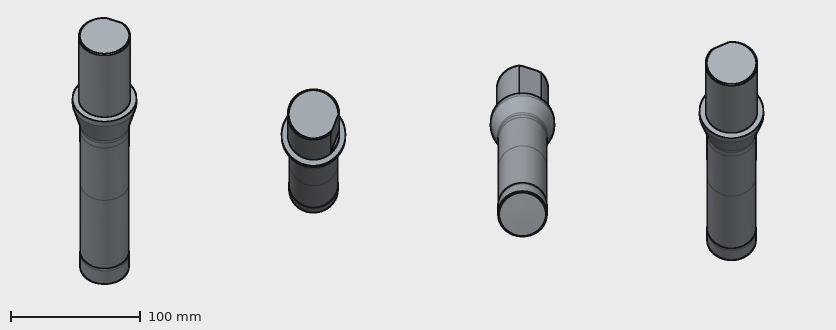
import cadquery as cq
import math

shank_diameter = 40.0
flange_diameter = 49.5
collar_diameter = 38.0
bar_diameter = 37.7
head_diameter = 38.0

total_height = 260.0
flange_top = 189.8
flange_bottom = 184.5
fillet_bottom = 160.0
collar_bottom = 154.5
waist_bottom = 95.7
joint_height = 19.0
head_shoulder = 16.6

fillet_radius = 13.0
cone_angle = math.radians(14.0)

shank_chamfer = 1.0
head_chamfer = 1.0
face_rise = 0.5
flat_distance = 18.0
flat_bottom = 194.0
flat_run_out = flat_bottom + shank_diameter / 2 - flat_distance


def make_shank_flat_cutter():
    """Prism beyond the flat, with a 45 degree run-out at its lower end."""
    outer_y = shank_diameter / 2
    return (
        cq.Workplane("YZ")
        .moveTo(flat_distance, total_height)
        .lineTo(flat_distance, flat_run_out)
        .lineTo(outer_y, flat_bottom)
        .lineTo(outer_y, total_height)
        .close()
        .extrude(flange_diameter / 2, both=True)
    )


def fillet_point(angle):
    """Radius and height on the fillet after turning by angle from the collar."""
    radius = collar_diameter / 2 + fillet_radius * (1 - math.cos(angle))
    height = fillet_bottom + fillet_radius * math.sin(angle)
    return radius, height


def make_holder():
    """Shank, flange, cone, collar, tapered waist and bar as one turned body."""
    bar_radius = bar_diameter / 2
    collar_radius = collar_diameter / 2
    shank_radius = shank_diameter / 2
    flange_radius = flange_diameter / 2
    fillet_middle = fillet_point(cone_angle / 2)
    fillet_end = fillet_point(cone_angle)
    turned = (
        cq.Workplane("XZ")
        .moveTo(0, joint_height)
        .lineTo(bar_radius, joint_height)
        .lineTo(bar_radius, waist_bottom)
        .lineTo(collar_radius, collar_bottom)
        .lineTo(collar_radius, fillet_bottom)
        .threePointArc(fillet_middle, fillet_end)
        .lineTo(flange_radius, flange_bottom)
        .lineTo(flange_radius, flange_top)
        .lineTo(shank_radius, flange_top)
        .lineTo(shank_radius, total_height - shank_chamfer)
        .lineTo(shank_radius - shank_chamfer, total_height)
        .lineTo(0, total_height)
        .close()
        .revolve(360, (0, 0), (0, 1))
    )
    return turned.cut(make_shank_flat_cutter())


def make_head():
    """Head with a very shallow conical face, tapering to the bar diameter at the joint."""
    head_radius = head_diameter / 2
    return (
        cq.Workplane("XZ")
        .lineTo(head_radius - head_chamfer, face_rise)
        .lineTo(head_radius, face_rise + head_chamfer)
        .lineTo(head_radius, head_shoulder)
        .lineTo(bar_diameter / 2, joint_height)
        .lineTo(0, joint_height)
        .close()
        .revolve(360, (0, 0), (0, 1))
    )


holder = make_holder()
head = make_head()
result = cq.Compound.makeCompound([holder.val(), head.val()])